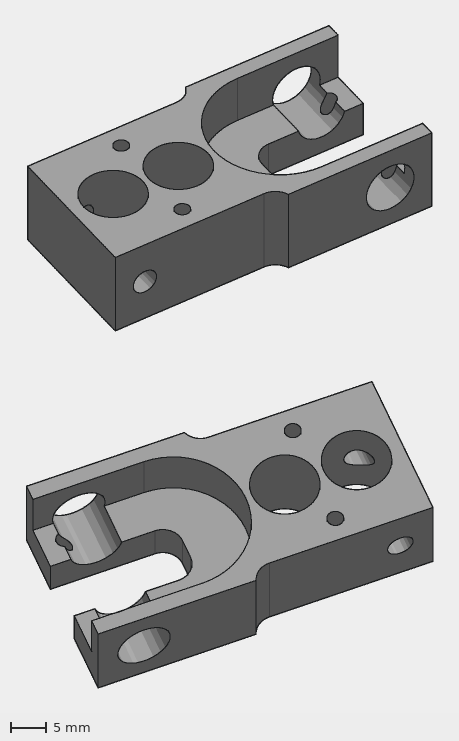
import cadquery as cq
import math

length = 52.0
fork_width = 27.0
shank_width = 23.0
height = 14.0
mid_height = height / 2

shoulder_radius = 3.0
shoulder_end = 27.0

pocket_width = 22.15
pocket_length = 28.05
pocket_depth = 8.0

slot_width = 9.0
slot_length = 19.0
slot_corner_radius = 3.0

axle_diameter = 8.0
axle_distance = 7.0
pin_diameter = 3.9
pin_distance = 47.0

bore_diameter = 10.0
bore_distances = (34.0, 45.0)
screw_diameter = 2.4
screw_spacing = 16.0
screw_distances = (3.55, 38.5)


def make_body():
    """Extrude the stepped outline with its concave shoulders."""
    fork_half = fork_width / 2
    shank_half = shank_width / 2
    step = fork_half - shank_half
    shoulder_length = math.sqrt(shoulder_radius**2 - (shoulder_radius - step) ** 2)
    shoulder_start = shoulder_end - shoulder_length
    return (
        cq.Workplane("XY")
        .moveTo(-fork_half, 0)
        .lineTo(-fork_half, -shoulder_start)
        .radiusArc((-shank_half, -shoulder_end), shoulder_radius)
        .lineTo(-shank_half, -length)
        .lineTo(shank_half, -length)
        .lineTo(shank_half, -shoulder_end)
        .radiusArc((fork_half, -shoulder_start), shoulder_radius)
        .lineTo(fork_half, 0)
        .close()
        .extrude(height)
    )


def make_pocket():
    """U-shaped pocket, open at the fork end and closed by a half circle."""
    half = pocket_width / 2
    straight = pocket_length - half
    return (
        cq.Workplane("XY")
        .workplane(offset=height - pocket_depth)
        .moveTo(-half, 0)
        .lineTo(-half, -straight)
        .threePointArc((0, -pocket_length), (half, -straight))
        .lineTo(half, 0)
        .close()
        .extrude(pocket_depth)
    )


def make_slot():
    """Slot open at the fork end, with rounded inner corners."""
    return (
        cq.Workplane("XY")
        .box(slot_width, slot_length, height, centered=(True, True, False))
        .edges("|Z and <Y")
        .fillet(slot_corner_radius)
        .translate((0, -slot_length / 2, 0))
    )


def cross_hole(diameter, distance):
    """Hole along X through the whole width at mid height."""
    return (
        cq.Workplane("YZ")
        .center(-distance, mid_height)
        .circle(diameter / 2)
        .extrude(fork_width / 2, both=True)
    )


def vertical_holes(diameter, centres):
    return cq.Workplane("XY").pushPoints(centres).circle(diameter / 2).extrude(height)


bore_centres = [(0, -distance) for distance in bore_distances]
screw_centres = [
    (side * screw_spacing / 2, -distance) for side in (-1, 1) for distance in screw_distances
]

result = (
    make_body()
    .cut(make_pocket())
    .cut(make_slot())
    .cut(cross_hole(axle_diameter, axle_distance))
    .cut(cross_hole(pin_diameter, pin_distance))
    .cut(vertical_holes(bore_diameter, bore_centres))
    .cut(vertical_holes(screw_diameter, screw_centres))
)